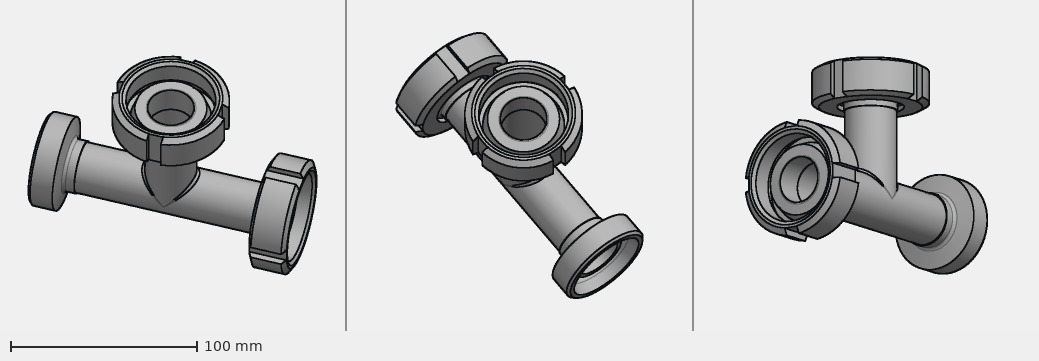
import cadquery as cq
import math

PIPE_DIA = 28.0
BORE_DIA = 25.0
ARM_LENGTH = 50.0
CROTCH_RATIO = 1.12

COLLAR_DIA = 29.0
FLARE_RADIUS = 1.9

MALE_LENGTH = 22.6
MALE_DIA = 52.0
MALE_CHAMFER = 1.5
MALE_COLLAR_LENGTH = 5.0
MALE_BACK_SLOPE = math.radians(11)
SEAT_MOUTH_DIA = 44.0
SEAT_FLOOR_DIA = 39.9
SEAT_CONE_DEPTH = 6.7
SEAT_FLOOR_DEPTH = 10.2
SEAT_RING_DIA = 30.0
SEAT_RING_DEPTH = 6.4

NUT_DIA = 63.0
NUT_HEIGHT = 21.0
NUT_OFFSET = 2.5
NUT_FACE_DIA = 55.8
NUT_CHAMFER_HEIGHT = 2.0
NUT_THREAD_DIA = 48.2
NUT_MOUTH_DIA = 52.4
NUT_MOUTH_DEPTH = 1.5
NUT_HOLE_DIA = 36.0
NUT_BACK_THICKNESS = 2.9
NUT_RELIEF_DIA = NUT_MOUTH_DIA
NUT_RELIEF_TOP = 8.3
SLOT_WIDTH = 8.0
SLOT_FLOOR_RADIUS = 27.7
SLOT_COUNT = 4

LINER_LENGTH = 15.8
LINER_RIM_DIA = SEAT_MOUTH_DIA
LINER_TIP_DIA = 38.7
LINER_RIM_TOP = 7.5
LINER_LIP_DIA = 26.7
LINER_FACE_DROP = 0.5


def revolve_about_z(outline):
    return outline.close().revolve(360, (0, 0, 0), (0, 1, 0))


def crotch_bevel():
    """Wedge of an elliptical column that bevels the -X inside corner between run and branch."""
    radius = PIPE_DIA / 2
    reach = CROTCH_RATIO * radius
    column = (
        cq.Workplane(cq.Plane(origin=(-PIPE_DIA, 0, -PIPE_DIA), xDir=(0, 1, 0), normal=(1, 0, 1)))
        .ellipse(radius, (radius + reach) / math.sqrt(2))
        .extrude(2 * PIPE_DIA * math.sqrt(2))
    )
    wedge = (
        cq.Workplane("XZ")
        .polyline([(0, 0), (-2 * radius, 2 * reach), (-2 * reach, 2 * radius)])
        .close()
        .extrude(PIPE_DIA, both=True)
    )
    return column.intersect(wedge)


def make_tee():
    """Run and branch of equal diameter, bevelled in both inside corners and bored through."""

    def crossing(diameter):
        run = cq.Workplane("YZ").circle(diameter / 2).extrude(ARM_LENGTH, both=True)
        branch = cq.Workplane("XY").circle(diameter / 2).extrude(ARM_LENGTH)
        return run.union(branch)

    bevel = crotch_bevel()
    return crossing(PIPE_DIA).union(bevel).union(bevel.mirror("YZ")).cut(crossing(BORE_DIA))


def make_male_end():
    """Male end standing on z = 0 with its seat facing +Z."""
    collar = COLLAR_DIA / 2
    rim = MALE_DIA / 2
    flare_end = (
        collar + FLARE_RADIUS * (1 - math.sin(MALE_BACK_SLOPE)),
        MALE_COLLAR_LENGTH + FLARE_RADIUS * math.cos(MALE_BACK_SLOPE),
    )
    rim_start = flare_end[1] + (rim - flare_end[0]) * math.tan(MALE_BACK_SLOPE)
    outline = (
        cq.Workplane("XZ")
        .moveTo(BORE_DIA / 2, 0)
        .lineTo(collar, 0)
        .lineTo(collar, MALE_COLLAR_LENGTH)
        .tangentArcPoint(flare_end, relative=False)
        .lineTo(rim, rim_start)
        .lineTo(rim, MALE_LENGTH - MALE_CHAMFER)
        .lineTo(rim - MALE_CHAMFER, MALE_LENGTH)
        .lineTo(SEAT_MOUTH_DIA / 2, MALE_LENGTH)
        .lineTo(SEAT_FLOOR_DIA / 2, MALE_LENGTH - SEAT_CONE_DEPTH)
        .lineTo(SEAT_FLOOR_DIA / 2, MALE_LENGTH - SEAT_FLOOR_DEPTH)
        .lineTo(SEAT_RING_DIA / 2, MALE_LENGTH - SEAT_FLOOR_DEPTH)
        .lineTo(SEAT_RING_DIA / 2, MALE_LENGTH - SEAT_RING_DEPTH)
        .lineTo(BORE_DIA / 2, MALE_LENGTH - SEAT_RING_DEPTH)
    )
    return revolve_about_z(outline)


def make_nut():
    """Union nut around the Z axis, its threaded mouth facing +Z."""
    nut = revolve_about_z(
        cq.Workplane("XZ")
        .moveTo(NUT_HOLE_DIA / 2, NUT_OFFSET)
        .lineTo(NUT_FACE_DIA / 2, NUT_OFFSET)
        .lineTo(NUT_DIA / 2, NUT_OFFSET + NUT_CHAMFER_HEIGHT)
        .lineTo(NUT_DIA / 2, NUT_OFFSET + NUT_HEIGHT - NUT_CHAMFER_HEIGHT)
        .lineTo(NUT_FACE_DIA / 2, NUT_OFFSET + NUT_HEIGHT)
        .lineTo(NUT_MOUTH_DIA / 2, NUT_OFFSET + NUT_HEIGHT)
        .lineTo(NUT_THREAD_DIA / 2, NUT_OFFSET + NUT_HEIGHT - NUT_MOUTH_DEPTH)
        .lineTo(NUT_THREAD_DIA / 2, NUT_OFFSET + NUT_RELIEF_TOP)
        .lineTo(NUT_RELIEF_DIA / 2, NUT_OFFSET + NUT_RELIEF_TOP)
        .lineTo(NUT_RELIEF_DIA / 2, NUT_OFFSET + NUT_BACK_THICKNESS)
        .lineTo(NUT_HOLE_DIA / 2, NUT_OFFSET + NUT_BACK_THICKNESS)
    )
    slots = (
        cq.Workplane("XY", origin=(0, 0, NUT_OFFSET))
        .polarArray(SLOT_FLOOR_RADIUS + NUT_DIA / 4, 0, 360, SLOT_COUNT)
        .rect(NUT_DIA / 2, SLOT_WIDTH)
        .extrude(NUT_HEIGHT)
    )
    return nut.cut(slots)


def make_liner():
    """Liner standing on z = 0, its flange resting on the back plate of the nut."""
    collar = COLLAR_DIA / 2
    shoulder = NUT_OFFSET + NUT_BACK_THICKNESS
    return revolve_about_z(
        cq.Workplane("XZ")
        .moveTo(BORE_DIA / 2, 0)
        .lineTo(collar, 0)
        .lineTo(collar, shoulder - FLARE_RADIUS)
        .tangentArcPoint((collar + FLARE_RADIUS, shoulder), relative=False)
        .lineTo(LINER_RIM_DIA / 2, shoulder)
        .lineTo(LINER_RIM_DIA / 2, LINER_RIM_TOP)
        .lineTo(LINER_TIP_DIA / 2, LINER_LENGTH - LINER_FACE_DROP)
        .lineTo(LINER_LIP_DIA / 2, LINER_LENGTH)
        .lineTo(BORE_DIA / 2, LINER_LENGTH)
    )


def on_branch(body):
    return body.translate((0, 0, ARM_LENGTH))


def on_right_arm(body):
    return on_branch(body).rotate((0, 0, 0), (0, 1, 0), 90)


def on_left_arm(body):
    return on_branch(body).rotate((0, 0, 0), (0, 1, 0), -90)


tee = make_tee()
male_end = on_left_arm(make_male_end())
nuts = []
liners = []
for place in (on_branch, on_right_arm):
    nuts.append(place(make_nut()))
    liners.append(place(make_liner()))

result = cq.Compound.makeCompound(
    [tee.val(), male_end.val()] + [body.val() for body in nuts + liners]
)